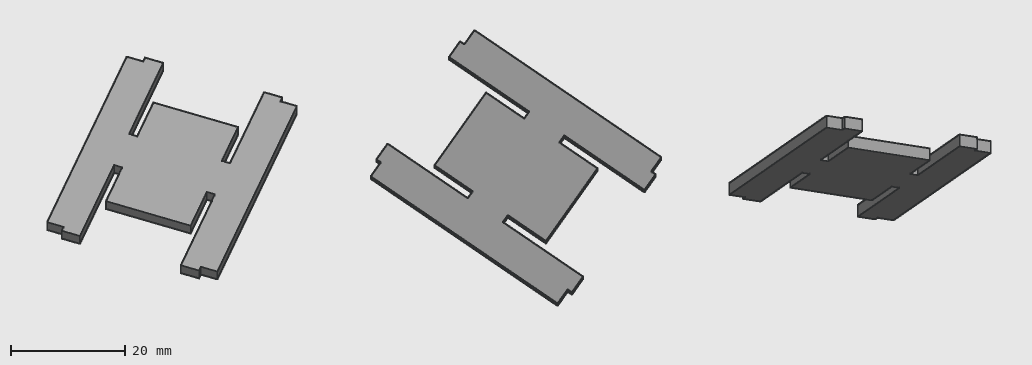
import cadquery as cq

width = 31.8
length = 41.6
thickness = 2.2

rail_width = 6.5
step_width = 3.08
step_depth = 0.9

panel_width = 15.8
panel_length = 23.7
bridge_length = 7.5


def plate(plate_width, plate_length, x_center=0.0):
    """Flat plate of the common thickness, centred on the X axis."""
    return cq.Workplane("XY").center(x_center, 0).rect(plate_width, plate_length).extrude(thickness)


def rail(side):
    """Side rail at +X (side = 1) or -X (side = -1)."""
    tongue_width = rail_width - step_width
    rail_center = side * (width - rail_width) / 2
    tongue_center = side * (width / 2 - step_width - tongue_width / 2)
    body = plate(rail_width, length - 2 * step_depth, rail_center)
    return body.union(plate(tongue_width, length, tongue_center))


bridge = plate(width - rail_width, bridge_length)
result = plate(panel_width, panel_length).union(bridge)
for side in (-1, 1):
    result = result.union(rail(side))
result = result.clean()